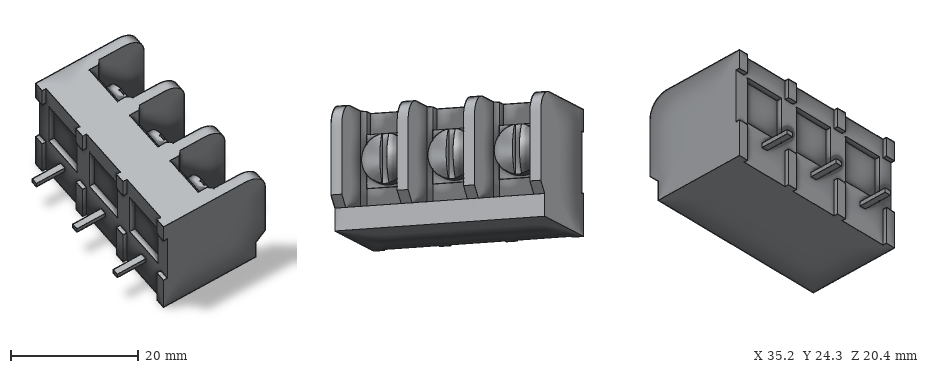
import cadquery as cq
import math


pole_count = 3
length = 35.18
height = 20.35
depth = 19.52
divider_width = 1.83
pitch = (length - divider_width) / pole_count
pole_centers = [divider_width / 2 + pitch * (i + 0.5) for i in range(pole_count)]
divider_starts = [pitch * i for i in range(pole_count + 1)]

step_inset = 1.8
step_height = 3.65
divider_round = 3.85

face_y = 0.75
lower_pad_height = 6.85
upper_pad_height = 3.6
window_width = 7.75
window_bottom = 7.95
window_height = 8.62
window_depth = 1.02

bay_width = pitch - divider_width
bay_straight_end = 10.95
seat_start = 10.25
seat_back = 8.48

screw_seat = 10.4
screw_diameter = 8.0
screw_rim_height = 1.85
screw_dome_height = 1.0
screw_z = window_bottom + window_height / 2
driver_slot_width = 1.15
driver_slot_depth = 1.35

pin_width = 1.15
pin_thickness = 0.85
pin_z = 5.28
pin_reach = 4.75


def box(x_start, x_size, y_start, y_end, z_start, z_end):
    """Axis-aligned block given by its limits."""
    block = cq.Workplane("XY").box(x_size, y_end - y_start, z_end - z_start, centered=False)
    return block.translate((x_start, y_start, z_start))


def make_housing():
    """Side profile of the dividers, extruded over the whole length."""
    corner = divider_round * (1 - math.sqrt(0.5))
    return (
        cq.Workplane("YZ")
        .moveTo(face_y, 0)
        .lineTo(depth - step_inset, 0)
        .lineTo(depth - step_inset, step_height)
        .lineTo(depth, step_height + step_inset)
        .lineTo(depth, height - divider_round)
        .threePointArc((depth - corner, height - corner), (depth - divider_round, height))
        .lineTo(face_y, height)
        .close()
        .extrude(length)
    )


def make_bay(center):
    """Bay open at the top and rear, above the step, with a narrower seat for the clamp plate."""
    half_bay = bay_width / 2
    half_seat = window_width / 2
    bay = (
        cq.Workplane("XY")
        .workplane(offset=step_height)
        .polyline([
            (center - half_bay, depth),
            (center - half_bay, bay_straight_end),
            (center - half_seat, seat_start),
            (center + half_seat, seat_start),
            (center + half_bay, bay_straight_end),
            (center + half_bay, depth),
        ])
        .close()
        .extrude(height - step_height)
    )
    seat = box(center - half_seat, window_width, seat_back, seat_start, window_bottom, height)
    return bay.union(seat)


def make_window(center):
    """Shallow rectangular recess in the pin face."""
    return box(
        center - window_width / 2, window_width,
        face_y, face_y + window_depth,
        window_bottom, window_bottom + window_height,
    )


def make_pads(x_start):
    """Lower and upper spacer pads in front of one divider."""
    lower = box(x_start, divider_width, 0, face_y, 0, lower_pad_height)
    upper = box(x_start, divider_width, 0, face_y, height - upper_pad_height, height)
    return lower, upper


def make_pin(center):
    """Rectangular solder pin standing on the pin face."""
    return box(
        center - pin_width / 2, pin_width,
        -pin_reach, face_y,
        pin_z - pin_thickness / 2, pin_z + pin_thickness / 2,
    )


def make_plate(center):
    """Clamp plate that fills the seat up to the underside of the screw head."""
    return box(
        center - window_width / 2, window_width,
        seat_back, screw_seat,
        window_bottom, window_bottom + window_height,
    )


def make_screw(center):
    """Domed screw head along +Y with a vertical driver slot."""
    radius = screw_diameter / 2
    rim_y = screw_seat + screw_rim_height
    top_y = rim_y + screw_dome_height
    dome_radius = (radius ** 2 + screw_dome_height ** 2) / (2 * screw_dome_height)
    mid_x = radius / 2
    mid_y = top_y - dome_radius + math.sqrt(dome_radius ** 2 - mid_x ** 2)
    head = (
        cq.Workplane("XY")
        .moveTo(0, screw_seat)
        .lineTo(radius, screw_seat)
        .lineTo(radius, rim_y)
        .threePointArc((mid_x, mid_y), (0, top_y))
        .close()
        .revolve(360, (0, 0, 0), (0, 1, 0))
    )
    driver_slot = box(
        -driver_slot_width / 2, driver_slot_width,
        top_y - driver_slot_depth, top_y,
        -radius, radius,
    )
    return head.cut(driver_slot).translate((center, 0, screw_z))


result = make_housing()

for pole_center in pole_centers:
    result = result.cut(make_bay(pole_center)).cut(make_window(pole_center))

for divider_start in divider_starts:
    for pad in make_pads(divider_start):
        result = result.union(pad)

for pole_center in pole_centers:
    result = result.union(make_pin(pole_center))
    result = result.union(make_plate(pole_center))
    result = result.union(make_screw(pole_center))